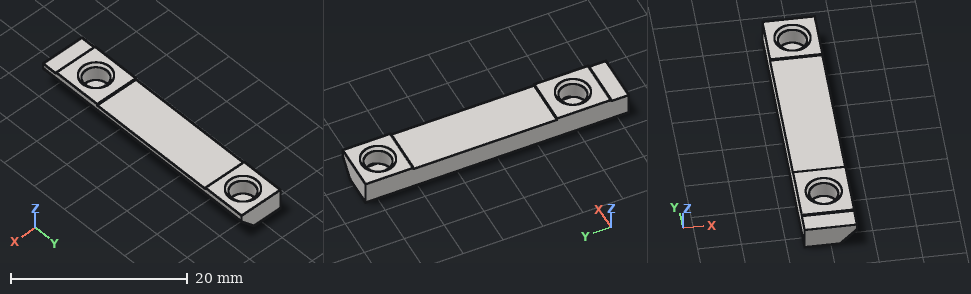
import cadquery as cq

length = 33.0
width = 6.0
height = 3.0

pad_rise = 0.2
rear_pad_length = 6.0
front_pad_length = 6.8
front_ledge = 2.2
middle_length = length - front_ledge - front_pad_length - rear_pad_length

bevel_width = 1.9
bevel_height = 2.0

hole_diameter = 3.3
mouth_diameter = 4.1
hole_depth = 2.48
hole_spacing = 24.42
rear_hole_inset = 3.0
mouth_chamfer = (mouth_diameter - hole_diameter) / 2


def make_bar():
    """Constant-section bar, centred on X, running along +Y from the origin."""
    half_width = width / 2
    outline = [
        (-half_width, 0),
        (half_width - bevel_width, 0),
        (half_width, bevel_height),
        (half_width, height),
        (-half_width, height),
    ]
    return cq.Workplane("XZ").polyline(outline).close().extrude(-length)


def make_relief(start, extent):
    """Shallow step cut across the full width of the top face."""
    relief = cq.Workplane("XY").box(width, extent, pad_rise, centered=(True, False, False))
    return relief.translate((0, start, height - pad_rise))


def make_hole(y):
    """Flat-bottomed hole with a conical mouth, opening at the pad top."""
    hole_radius = hole_diameter / 2
    profile = [
        (0, height - hole_depth),
        (hole_radius, height - hole_depth),
        (hole_radius, height - mouth_chamfer),
        (mouth_diameter / 2, height),
        (0, height),
    ]
    hole = cq.Workplane("XZ").polyline(profile).close().revolve(360, (0, 0), (0, 1))
    return hole.translate((0, y, 0))


result = make_bar()

middle_start = front_ledge + front_pad_length
for start, extent in [(0, front_ledge), (middle_start, middle_length)]:
    result = result.cut(make_relief(start, extent))

rear_hole_y = length - rear_hole_inset
for y in [rear_hole_y - hole_spacing, rear_hole_y]:
    result = result.cut(make_hole(y))